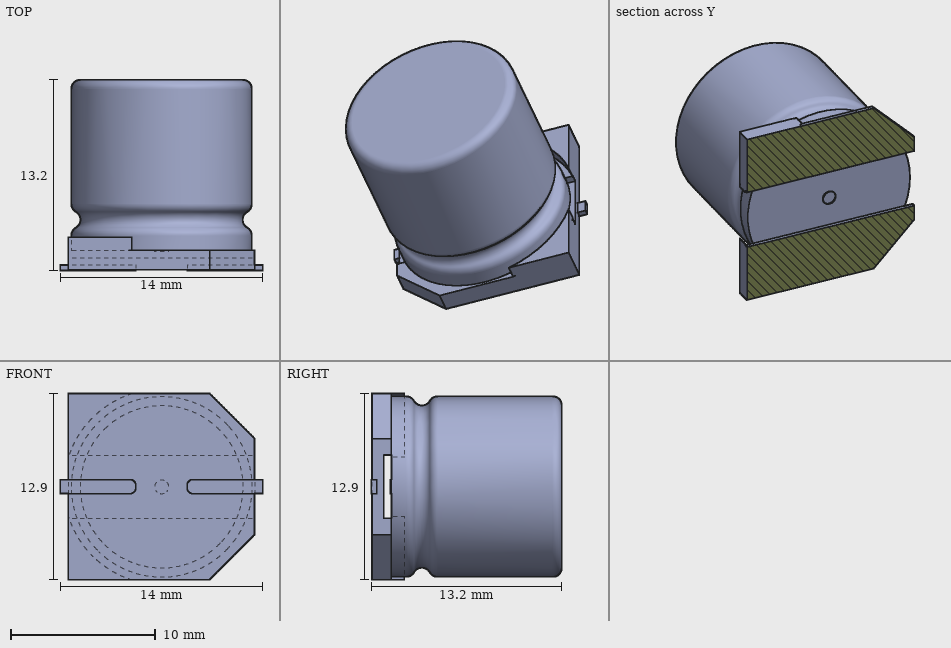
import cadquery as cq
import math


base_side = 12.88
base_half = base_side / 2
plate_thickness = 1.36
block_top = 2.25
corner_cut = 3.12
pocket_radius = 6.76
slot_width = 4.34
slot_depth = 0.52

lead_span = 14.0
lead_gap = 3.54
lead_width = 0.97
lead_thickness = 0.39
lead_protrusion = 0.05
lead_corner_radius = 0.39
lead_length = (lead_span - lead_gap) / 2

can_radius = 6.25
overall_height = 13.17
can_top = overall_height - lead_protrusion
edge_radius = 0.63
bead_radius = 0.63
bead_angle = math.radians(60)
bead_center = 3.46

plug_diameter = lead_width
plug_thickness = 0.07


def make_lead(side):
    """Lead strip with a rounded inner end; side is -1 for the -X lead and +1 for the +X lead."""
    center_x = side * (lead_gap + lead_length) / 2
    center_y = lead_thickness / 2 - lead_protrusion
    strip = cq.Workplane("XY").box(lead_length, lead_thickness, lead_width)
    inner_edges = "|Y and >X" if side < 0 else "|Y and <X"
    strip = strip.edges(inner_edges).fillet(lead_corner_radius).solids()
    return strip.translate((center_x, center_y, 0))


def make_can():
    """Solid of revolution: straight wall, two-way curved bead, straight wall, rounded top edge."""
    arc_height = bead_radius * math.sin(bead_angle)
    arc_depth = bead_radius * (1 - math.cos(bead_angle))
    half_arc_height = bead_radius * math.sin(bead_angle / 2)
    half_arc_depth = bead_radius * (1 - math.cos(bead_angle / 2))
    neck_radius = can_radius - 2 * arc_depth
    bend_radius = can_radius - arc_depth
    bead_start = bead_center - 2 * arc_height
    bead_end = bead_center + 2 * arc_height

    profile = (
        cq.Workplane("XY")
        .moveTo(0, plate_thickness)
        .lineTo(can_radius, plate_thickness)
        .lineTo(can_radius, bead_start)
        .threePointArc(
            (can_radius - half_arc_depth, bead_start + half_arc_height),
            (bend_radius, bead_center - arc_height),
        )
        .threePointArc(
            (neck_radius + half_arc_depth, bead_center - half_arc_height),
            (neck_radius, bead_center),
        )
        .threePointArc(
            (neck_radius + half_arc_depth, bead_center + half_arc_height),
            (bend_radius, bead_center + arc_height),
        )
        .threePointArc(
            (can_radius - half_arc_depth, bead_end - half_arc_height),
            (can_radius, bead_end),
        )
        .lineTo(can_radius, can_top - edge_radius)
        .radiusArc((can_radius - edge_radius, can_top), -edge_radius)
        .lineTo(0, can_top)
        .close()
    )
    return profile.revolve(360, (0, 0, 0), (0, 1, 0))


def make_base(leads):
    """Plate and corner blocks, with seats for the leads and a slot along X."""
    plate = (
        cq.Workplane("XY")
        .box(base_side, plate_thickness, base_side)
        .edges("|Y and >X")
        .chamfer(corner_cut)
        .translate((0, plate_thickness / 2, 0))
    )
    half_slab = cq.Workplane("XY").box(base_half, block_top, base_side)
    pocket = cq.Workplane("XZ").circle(pocket_radius).extrude(-block_top)
    blocks = half_slab.translate((-base_half / 2, block_top / 2, 0)).cut(pocket)
    body = plate.union(blocks)

    slot = cq.Workplane("XY").box(base_side, slot_depth, slot_width)
    body = body.cut(slot.translate((0, plate_thickness - slot_depth / 2, 0)))
    for lead in leads:
        body = body.cut(lead)
    return body.solids()


def make_plug():
    """Thin disc hanging from the underside of the can."""
    disc = cq.Workplane("XZ").circle(plug_diameter / 2).extrude(plug_thickness)
    return disc.translate((0, plate_thickness, 0))


can = make_can()
leads = [make_lead(side) for side in (-1, 1)]
base = make_base(leads)
plug = make_plug()

result = cq.Compound.makeCompound([can.val(), base.val(), plug.val(), *[lead.val() for lead in leads]])